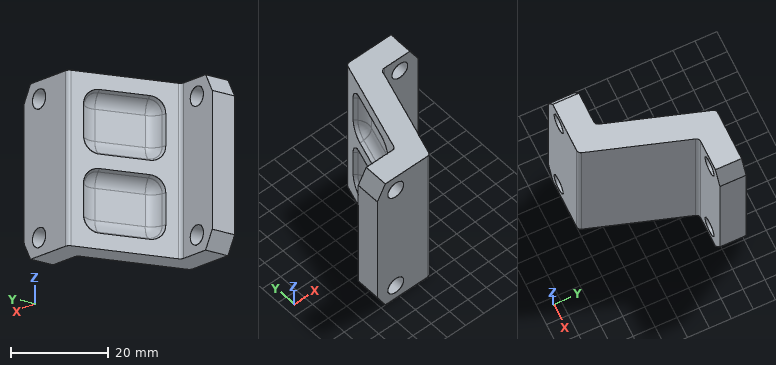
import cadquery as cq
import math

width = 32.0
depth = 30.0
height = 38.0

flange_thickness = 6.0
lower_flange_inner_length = 10.0
lower_flange_outer_length = 14.35
bend_radius = 1.0

corner_cut_x = 2.15
corner_cut_z = 4.0
hole_diameter = 4.3
hole_spacing_x = 21.95
hole_spacing_z = 30.0

pocket_length = 18.2
pocket_height = 14.0
pocket_corner_radius = 3.55
pocket_spacing = 17.1
pocket_depth = 2.6
pocket_draft = 30.0
pocket_floor_radius = 3.5

end_margin = 0.38

half_width = width / 2
half_depth = depth / 2
half_height = height / 2


def bracket_body():
    """Extrude the Z section, which is symmetric under a half turn, and round its bends."""
    half_outline = [
        (-half_width, -half_depth),
        (-half_width + lower_flange_outer_length, -half_depth),
        (half_width - lower_flange_inner_length, half_depth - flange_thickness),
        (half_width, half_depth - flange_thickness),
    ]
    opposite_half = [(-x, -y) for x, y in half_outline]
    section = cq.Workplane("XY").polyline(half_outline + opposite_half).close()
    body = section.extrude(half_height, both=True)
    bend_edges = body.edges("|Z").edges(
        cq.selectors.BoxSelector(
            (-half_width + end_margin, -depth, -height), (half_width - end_margin, depth, height)
        )
    )
    return bend_edges.fillet(bend_radius)


def corner_trim():
    """Octagonal prism along Y that cuts the four outer corners."""
    flat_x = half_width - corner_cut_x
    flat_z = half_height - corner_cut_z
    points = [
        (half_width, flat_z),
        (flat_x, half_height),
        (-flat_x, half_height),
        (-half_width, flat_z),
        (-half_width, -flat_z),
        (-flat_x, -half_height),
        (flat_x, -half_height),
        (half_width, -flat_z),
    ]
    return cq.Workplane("XZ").polyline(points).close().extrude(depth, both=True)


def bolt_holes():
    holes = cq.Workplane("XZ").rarray(hole_spacing_x, hole_spacing_z, 2, 2)
    return holes.circle(hole_diameter / 2).extrude(depth, both=True)


def web_pockets():
    """Drafted pockets with rounded floors, sunk square to the sloping web face."""
    web_run = width - lower_flange_inner_length - lower_flange_outer_length
    web_rise = depth - flange_thickness
    web_length = math.hypot(web_run, web_rise)
    upper_corner_x = half_width - lower_flange_outer_length
    face_plane = cq.Plane(
        origin=(upper_corner_x - web_run / 2, half_depth - web_rise / 2, 0),
        xDir=(web_run, web_rise, 0),
        normal=(web_rise / web_length, -web_run / web_length, 0),
    )
    rim = cq.Sketch().rect(pocket_length, pocket_height).vertices().fillet(pocket_corner_radius)
    pocket = cq.Workplane(face_plane).placeSketch(rim).extrude(pocket_depth, taper=pocket_draft)
    pocket = pocket.faces(cq.selectors.DirectionMinMaxSelector(face_plane.zDir, True))
    pocket = pocket.edges().fillet(pocket_floor_radius)
    lower_pocket = pocket.translate((0, 0, -pocket_spacing / 2))
    upper_pocket = pocket.translate((0, 0, pocket_spacing / 2))
    return lower_pocket.union(upper_pocket)


result = bracket_body().intersect(corner_trim()).cut(bolt_holes()).cut(web_pockets())